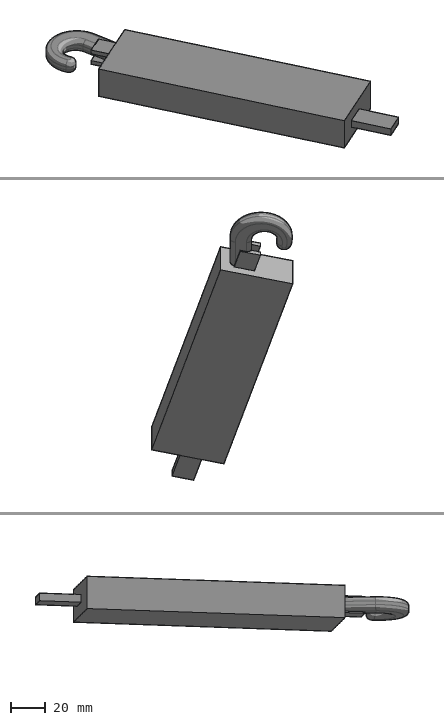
import cadquery as cq
import math

TILT = -2.0
OVERALL_LENGTH = 217.3

HOUSING_LENGTH = 152.0
HOUSING_WIDTH = 43.5
HOUSING_HEIGHT = 19.1
FACE_X = HOUSING_LENGTH / 2

TAB_WIDTH = 13.0
TAB_THICKNESS = 4.5
TAB_Y = -3.7

PLATE_LENGTH = 13.3
PLATE_WIDTH = 12.2
PLATE_THICKNESS = 2.5
PLATE_SPAN = 10.0
PLATE_Y = 7.4

HOOK_HEIGHT = 8.3
HOOK_EDGE_RADIUS = 3.0
HOOK_X = -98.9
HOOK_INNER_Y = 1.5
HOOK_INNER_RADIUS = 7.4
HOOK_TIP_DIAMETER = 8.7
HOOK_CROWN_WIDTH = 12.5
NECK_SLOPE = 15.0

HOOK_OUTER_RADIUS = HOOK_INNER_RADIUS + (HOOK_TIP_DIAMETER + HOOK_CROWN_WIDTH) / 2
HOOK_OUTER_Y = HOOK_INNER_Y + (HOOK_CROWN_WIDTH - HOOK_TIP_DIAMETER) / 2

TILT_COS = math.cos(math.radians(TILT))
TILT_SIN = math.sin(math.radians(TILT))
TURNED_HOOK_END_X = HOOK_X * TILT_COS - HOOK_OUTER_Y * TILT_SIN - HOOK_OUTER_RADIUS
TURNED_TAB_END_X = TURNED_HOOK_END_X + OVERALL_LENGTH
TAB_END_X = (TURNED_TAB_END_X + (TAB_Y + TAB_WIDTH / 2) * TILT_SIN) / TILT_COS
TAB_LENGTH = TAB_END_X - FACE_X


def make_housing():
    return cq.Workplane("XY").box(HOUSING_LENGTH, HOUSING_WIDTH, HOUSING_HEIGHT)


def make_tail_tab():
    centre = (FACE_X + TAB_LENGTH / 2, TAB_Y, 0)
    return cq.Workplane("XY").box(TAB_LENGTH, TAB_WIDTH, TAB_THICKNESS).translate(centre)


def neck_tangent(centre_y, radius):
    """Tangent point of a sloping neck line on a hook circle."""
    slope = math.radians(NECK_SLOPE)
    return (HOOK_X + radius * math.sin(slope), centre_y + radius * math.cos(slope))


def neck_end(tangent):
    """Point where the neck line through the tangent point meets the housing face."""
    run = -FACE_X - tangent[0]
    return (-FACE_X, tangent[1] - run * math.tan(math.radians(NECK_SLOPE)))


def make_hook():
    outer_tangent = neck_tangent(HOOK_OUTER_Y, HOOK_OUTER_RADIUS)
    inner_tangent = neck_tangent(HOOK_INNER_Y, HOOK_INNER_RADIUS)
    outer_bottom_y = HOOK_OUTER_Y - HOOK_OUTER_RADIUS
    inner_bottom_y = HOOK_INNER_Y - HOOK_INNER_RADIUS
    tip_point = (HOOK_X + HOOK_TIP_DIAMETER / 2, inner_bottom_y - HOOK_TIP_DIAMETER / 2)
    outline = (
        cq.Workplane("XY", origin=(0, 0, -HOOK_HEIGHT / 2))
        .moveTo(*neck_end(outer_tangent))
        .lineTo(*outer_tangent)
        .threePointArc((HOOK_X - HOOK_OUTER_RADIUS, HOOK_OUTER_Y), (HOOK_X, outer_bottom_y))
        .threePointArc(tip_point, (HOOK_X, inner_bottom_y))
        .threePointArc((HOOK_X - HOOK_INNER_RADIUS, HOOK_INNER_Y), inner_tangent)
        .lineTo(*neck_end(inner_tangent))
        .close()
    )
    bar = outline.extrude(HOOK_HEIGHT)
    rim_edges = bar.edges("#Z").edges("not >X")
    return rim_edges.fillet(HOOK_EDGE_RADIUS)


def make_plate(side, hook):
    """Clamp plate above (side = 1) or below (side = -1) the hook neck, recessed to fit it."""
    centre_z = side * (PLATE_SPAN - PLATE_THICKNESS) / 2
    blank = cq.Workplane("XY").box(PLATE_LENGTH, PLATE_WIDTH, PLATE_THICKNESS)
    return blank.translate((-FACE_X - PLATE_LENGTH / 2, PLATE_Y, centre_z)).cut(hook)


def turned(body):
    return body.rotate((0, 0, 0), (0, 0, 1), TILT).val()


housing = make_housing()
tail_tab = make_tail_tab()
hook = make_hook()
plates = [make_plate(side, hook) for side in (1, -1)]

result = cq.Compound.makeCompound([turned(body) for body in (housing, tail_tab, hook, *plates)])